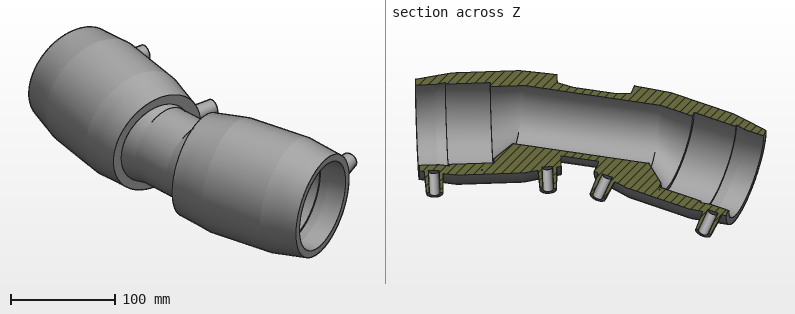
import cadquery as cq
import math

bend_angle = 24.0
link_length = 53.3

coupler_length = 136.0
coupler_diameter = 116.0
end_diameter = 104.0
taper_length = 35.8
mouth_diameter = 90.0
mouth_depth = 71.5

groove_diameter = 93.6
groove_start = 19.0
groove_width = 9.6

socket_offset = 13.6
socket_top = 76.75
socket_root = 48.0
socket_top_diameter = 16.0
socket_root_diameter = 19.0
socket_bore_diameter = 10.0
socket_bore_floor = end_diameter / 2

pipe_diameter = 78.72
flare_diameter = 90.0
flare_depth = 6.0
seam_inset = 6.9

passage_diameter = 65.84
passage_end_diameter = 81.0
passage_overlap = 39.5

link_angle = math.radians(bend_angle / 2)
link_direction = cq.Vector(math.cos(link_angle), math.sin(link_angle), 0)
coupler_axis = cq.Vector(1, 0, 0)
link_start = cq.Vector(coupler_length, 0, 0)


def link_point(distance):
    """Point on the link axis, measured from the inner end of the first coupler."""
    return link_start + link_direction * distance


def mirror_to_second(body):
    """Mirror a body across the plane square to the link at its middle."""
    return body.mirror(link_direction, link_point(link_length / 2).toTuple())


def disc(center, normal, diameter):
    """Workplane with a circle square to the given normal; its seam lies on the -Z side."""
    plane = cq.Plane(origin=center.toTuple(), xDir=(0, 0, -1), normal=normal.toTuple())
    return cq.Workplane(plane).circle(diameter / 2)


def flare(axis_distance, axis_diameter, link_distance, link_diameter):
    """Solid between a circle square to the first coupler and a circle square to the link."""
    coupler_end = disc(cq.Vector(axis_distance, 0, 0), coupler_axis, axis_diameter)
    link_end = disc(link_point(link_distance), link_direction, link_diameter)
    return cq.Workplane(cq.Solid.makeLoft([coupler_end.wires().val(), link_end.wires().val()], True))


def link_cylinder(start, end, diameter):
    """Cylinder along the link axis between two distances."""
    return disc(link_point(start), link_direction, diameter).extrude(end - start)


def make_coupler_body():
    """Solid barrel along X with a conical stretch at each end."""
    profile = [
        (0, 0),
        (0, end_diameter / 2),
        (taper_length, coupler_diameter / 2),
        (coupler_length - taper_length, coupler_diameter / 2),
        (coupler_length, end_diameter / 2),
        (coupler_length, 0),
    ]
    return cq.Workplane("XY").polyline(profile).close().revolve(360, (0, 0, 0), (1, 0, 0))


def socket_plane(x, height):
    """Workplane facing +Y at the given height above the coupler axis."""
    return cq.Workplane(cq.Plane(origin=(x, height, 0), xDir=(1, 0, 0), normal=(0, 1, 0)))


def make_socket(x):
    """Tapered contact socket pointing along +Y, with a blind bore from its top."""
    socket_height = socket_top - socket_root
    body = (
        socket_plane(x, socket_root)
        .circle(socket_root_diameter / 2)
        .workplane(offset=socket_height)
        .circle(socket_top_diameter / 2)
        .loft(ruled=True)
    )
    bore_depth = socket_top - socket_bore_floor
    bore = socket_plane(x, socket_bore_floor).circle(socket_bore_diameter / 2).extrude(bore_depth)
    return body, bore


def make_coupler():
    """Coupler with its sockets, open mouth at x = 0 and winding groove."""
    coupler = make_coupler_body()
    for x in (socket_offset, coupler_length - socket_offset):
        socket, bore = make_socket(x)
        coupler = coupler.union(socket).cut(bore)
    mouth = cq.Workplane("YZ").circle(mouth_diameter / 2).extrude(mouth_depth)
    groove = (
        cq.Workplane("YZ")
        .workplane(offset=groove_start)
        .circle(mouth_diameter / 2)
        .workplane(offset=groove_width)
        .circle(groove_diameter / 2)
        .loft(ruled=True)
    )
    return coupler.cut(mouth).cut(groove)


def make_joining_pipe():
    """Solid slanted pipe with an outer flare reaching into each coupler."""
    outer_flare = flare(coupler_length - flare_depth, flare_diameter, seam_inset, pipe_diameter)
    pipe = link_cylinder(seam_inset, link_length - seam_inset, pipe_diameter)
    return pipe.union(outer_flare).union(mirror_to_second(outer_flare))


def cut_passage(body):
    """Cut the straight passage and the flares that open it to each pipe stop."""
    inner_flare = flare(mouth_depth, passage_end_diameter, -passage_overlap, passage_diameter)
    straight = link_cylinder(-passage_overlap, link_length + passage_overlap, passage_diameter)
    return body.cut(straight).cut(inner_flare).cut(mirror_to_second(inner_flare))


first_coupler = make_coupler()
second_coupler = mirror_to_second(first_coupler)
result = cut_passage(first_coupler.union(make_joining_pipe()).union(second_coupler))